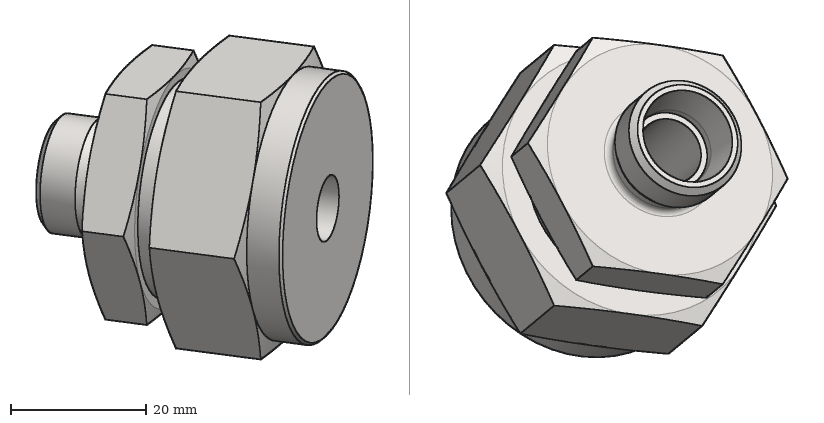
import cadquery as cq
import math

nut_corner_width = 47.35
hex_chamfer_angle = 15.0
overall_length = 43.0

thread_end = 6.5
groove_start = 8.47
body_hex_start = 11.0
body_hex_length = 8.0
nut_start = 22.5
nut_hex_length = 15.0

thread_diameter = 18.0
thread_chamfer = 1.0
groove_diameter = 15.8
groove_fillet = 1.0

nut_flat_width = nut_corner_width * math.cos(math.radians(30))
body_flat_width = 36.0
neck_diameter = 33.0
collar_chamfer = 0.43

bore_diameter = 10.0
socket_diameter = 11.95
mouth_diameter = 14.3
cone_half_angle = 12.0
socket_depth = 7.0

body_hex_end = body_hex_start + body_hex_length
nut_hex_end = nut_start + nut_hex_length


def cylinder(diameter, start, end):
    """Round bar along X between two stations."""
    return cq.Workplane("YZ", origin=(start, 0, 0)).circle(diameter / 2).extrude(end - start)


def revolve_about_x(profile):
    """Turn a closed profile of (x, radius) points about the X axis."""
    return profile.close().revolve(360, (0, 0, 0), (1, 0, 0))


def chamfered_hex(flat_width, start, length):
    """Hexagon with flats facing +Z and -Z, its corners turned down conically at both ends."""
    corner_width = flat_width / math.cos(math.radians(30))
    face_radius = flat_width / 2
    corner_radius = corner_width / 2
    setback = (corner_radius - face_radius) * math.tan(math.radians(hex_chamfer_angle))
    end = start + length
    prism = cq.Workplane("YZ", origin=(start, 0, 0)).polygon(6, corner_width).extrude(length)
    envelope = revolve_about_x(
        cq.Workplane("XY")
        .moveTo(start, 0)
        .lineTo(start, face_radius)
        .lineTo(start + setback, corner_radius)
        .lineTo(end - setback, corner_radius)
        .lineTo(end, face_radius)
        .lineTo(end, 0)
    )
    return prism.intersect(envelope)


def stud():
    """Thread blank with a lead-in chamfer, a relief groove and a fillet into the body hexagon."""
    thread_radius = thread_diameter / 2
    groove_radius = groove_diameter / 2
    fillet_start = body_hex_start - groove_fillet
    arc_offset = groove_fillet * math.sqrt(0.5)
    arc_middle = (fillet_start + arc_offset, groove_radius + groove_fillet - arc_offset)
    return revolve_about_x(
        cq.Workplane("XY")
        .moveTo(0, 0)
        .lineTo(0, thread_radius - thread_chamfer)
        .lineTo(thread_chamfer, thread_radius)
        .lineTo(thread_end, thread_radius)
        .lineTo(groove_start, groove_radius)
        .lineTo(fillet_start, groove_radius)
        .threePointArc(arc_middle, (body_hex_start, groove_radius + groove_fillet))
        .lineTo(body_hex_start, 0)
    )


def collar():
    """Round end of the nut, as wide as its flats, with a small chamfer on the outer rim."""
    bar = cylinder(nut_flat_width, nut_hex_end, overall_length)
    return bar.faces(">X").edges().chamfer(collar_chamfer)


def bore():
    """Through hole that opens at the stud into a tube socket with a conical mouth."""
    cone_length = (mouth_diameter - socket_diameter) / 2 / math.tan(math.radians(cone_half_angle))
    return revolve_about_x(
        cq.Workplane("XY")
        .moveTo(0, 0)
        .lineTo(0, mouth_diameter / 2)
        .lineTo(cone_length, socket_diameter / 2)
        .lineTo(socket_depth, socket_diameter / 2)
        .lineTo(socket_depth, bore_diameter / 2)
        .lineTo(overall_length, bore_diameter / 2)
        .lineTo(overall_length, 0)
    )


result = (
    stud()
    .union(chamfered_hex(body_flat_width, body_hex_start, body_hex_length))
    .union(cylinder(neck_diameter, body_hex_end, nut_start))
    .union(chamfered_hex(nut_flat_width, nut_start, nut_hex_length))
    .union(collar())
    .cut(bore())
)